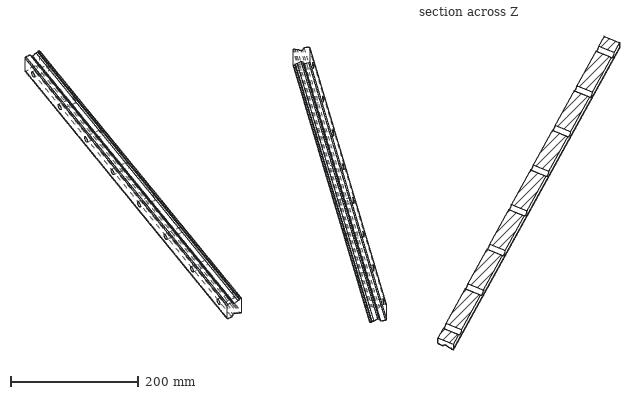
import cadquery as cq

length = 610.0
thickness = 27.5
width = 34.0

base_chamfer = 2.0
head_chamfer = 1.0
groove_wall_top_y = -4.0
groove_wall_foot_y = -2.0
groove_wall_depth = 4.0
groove_bottom_y = 0.5
groove_depth = 5.5
shoulder_drop = 2.0
shoulder_groove_y = 7.0
shoulder_step_y = 10.0
shoulder_top_y = 10.5

hole_count = 8
hole_diameter = 9.0
end_margin = 25.0
hole_pitch = (length - 2 * end_margin) / (hole_count - 1)

half_length = length / 2
half_thickness = thickness / 2
half_width = width / 2


def half_rail():
    """Upper half of the rail, from the mid-plane to the grooved side."""
    base_y = -half_thickness
    head_y = half_thickness
    return (
        cq.Workplane("YZ", origin=(-half_length, 0, 0))
        .moveTo(base_y, 0)
        .lineTo(base_y, half_width - base_chamfer)
        .lineTo(base_y + base_chamfer, half_width)
        .lineTo(groove_wall_top_y, half_width)
        .lineTo(groove_wall_foot_y, half_width - groove_wall_depth)
        .lineTo(groove_bottom_y, half_width - groove_depth)
        .lineTo(shoulder_groove_y, half_width - shoulder_drop)
        .lineTo(shoulder_step_y, half_width - shoulder_drop)
        .lineTo(shoulder_top_y, half_width)
        .lineTo(head_y - head_chamfer, half_width)
        .lineTo(head_y, half_width - head_chamfer)
        .lineTo(head_y, 0)
        .close()
        .extrude(length)
    )


def mounting_holes():
    """Row of through holes along the rail's centre line."""
    centers = [(-half_length + end_margin + i * hole_pitch, 0) for i in range(hole_count)]
    return (
        cq.Workplane("XZ")
        .pushPoints(centers)
        .circle(hole_diameter / 2)
        .extrude(half_thickness, both=True)
    )


upper_half = half_rail()
rail = upper_half.union(upper_half.mirror("XY")).clean()
result = rail.cut(mounting_holes())